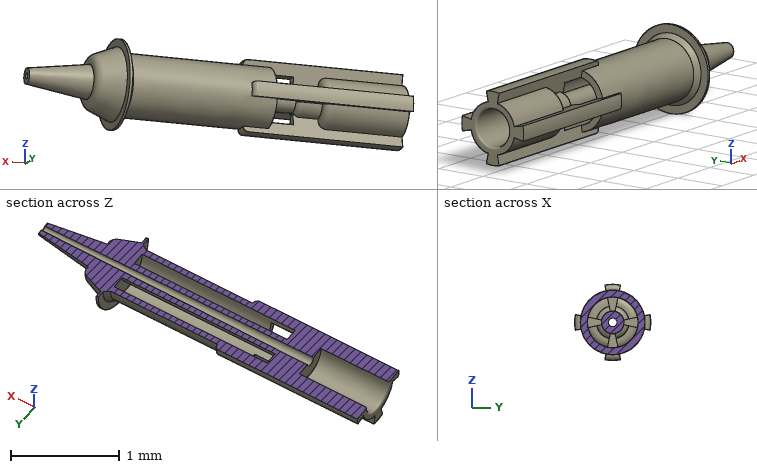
import cadquery as cq
import math

overall_length = 3.69

socket_radius = 0.5 / 2
socket_length = 0.823
socket_rounding = 0.075
bore_mouth_radius = 0.365 / 2
bore_floor_radius = 0.358 / 2
bore_mouth_rounding = 0.022
bore_depth = 0.745

neck_radius = 0.303 / 2
neck_end = 1.07
neck_rounding = 0.063
pin_radius = 0.21 / 2

barrel_front_radius = 0.598 / 2
barrel_rear_radius = 0.6 / 2
barrel_start = 1.325
barrel_end = 2.75
cavity_radius = 0.465 / 2
cavity_end = barrel_end

fin_count = 4
fin_radius = 0.705 / 2
fin_angle = 24.0
fin_end = 1.575
fin_rounding = 0.048

collar_radius = 0.345
nose_root_radius = 0.35
flange_radius = 0.85 / 2
flange_start = 2.805
flange_end = 2.83
nose_end = 3.09
nose_radius = 0.247
nose_rounding = 0.085

tip_root_radius = 0.33 / 2
tip_end_radius = 0.15 / 2

hole_start_radius = 0.1 / 2
hole_end_radius = 0.05 / 2


def cylinder(radius, start, end):
    """Cylinder on the X axis between two positions."""
    return cq.Workplane("YZ").workplane(offset=start).circle(radius).extrude(end - start)


def cone(start_radius, end_radius, start, end):
    """Truncated cone on the X axis between two positions."""
    outline = [(start, 0), (start, start_radius), (end, end_radius), (end, 0)]
    return cq.Workplane("XY").polyline(outline).close().revolve(360, (0, 0, 0), (1, 0, 0))


def fin_sector(direction):
    """Wedge on the axis, centred on the given direction and reaching past the fin radius."""
    reach = 2 * fin_radius
    half_width = reach * math.tan(math.radians(fin_angle / 2))
    wedge = cq.Workplane("YZ").polyline([(0, 0), (reach, -half_width), (reach, half_width)]).close()
    return wedge.extrude(fin_end).rotate((0, 0, 0), (1, 0, 0), direction)


def make_core():
    """Socket body, rounded neck and pin."""
    socket = cylinder(socket_radius, 0, socket_length).faces(">X").edges().fillet(socket_rounding)
    neck = cylinder(neck_radius, 0, neck_end).faces(">X").edges().fillet(neck_rounding)
    pin = cylinder(pin_radius, 0, barrel_end)
    return socket.union(neck).union(pin)


def make_fins():
    """Radial fins cut from a cylinder whose far rim is rounded."""
    blank = cylinder(fin_radius, 0, fin_end).faces(">X").edges().fillet(fin_rounding)
    fins = cq.Workplane("YZ")
    for index in range(fin_count):
        fins = fins.union(blank.intersect(fin_sector(index * 360 / fin_count)))
    return fins


def make_flange_and_nose():
    """Flared collar, thin flange, rounded nose and tapered tip."""
    collar = cone(barrel_rear_radius, collar_radius, barrel_end, flange_start)
    flange = cylinder(flange_radius, flange_start, flange_end)
    nose = cone(nose_root_radius, nose_radius, flange_end, nose_end)
    nose = nose.faces(">X").edges().fillet(nose_rounding)
    tip = cone(tip_root_radius, tip_end_radius, nose_end, overall_length)
    return collar.union(flange).union(nose).union(tip)


barrel = cone(barrel_front_radius, barrel_rear_radius, barrel_start, barrel_end)
cavity = cylinder(cavity_radius, neck_end, cavity_end)

result = barrel.union(make_fins()).cut(cavity).union(make_core()).union(make_flange_and_nose())

bore = cone(bore_mouth_radius, bore_floor_radius, 0, bore_depth)
result = result.cut(bore)
mouth_edge = cq.selectors.RadiusNthSelector(0)
result = result.faces("<X").edges(mouth_edge).fillet(bore_mouth_rounding)
result = result.cut(cone(hole_start_radius, hole_end_radius, bore_depth, overall_length))